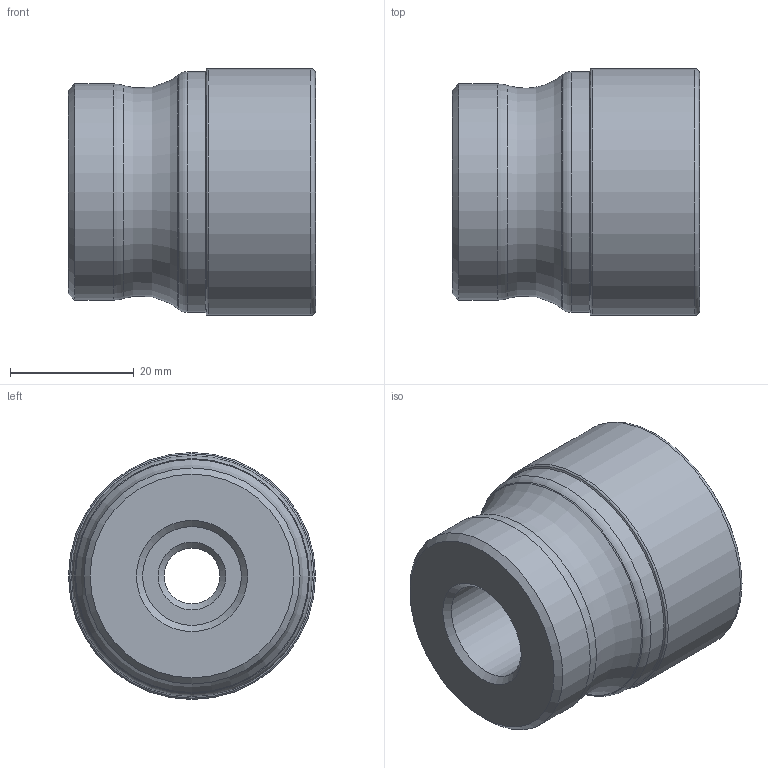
import cadquery as cq
import math

length = 40.0
nose_radius = 17.5
nose_chamfer = 1.0
collar_radius = 19.5
body_radius = 20.0
body_rear_round = 0.8

step_start = 22.17
step_round = 0.37
step_angle = math.radians(65)

neck_center_x = 11.8
neck_radius = 16.8
neck_arc_radius = 9.3
nose_blend_radius = 5.5
collar_blend_radius = 2.2
collar_flank_angle = math.radians(39)

counterbore_radius = 8.0
counterbore_depth = 20.0
through_hole_radius = 4.5
bore_chamfer = 1.0


def arc_point(center, radius, turn):
    """Point on an arc, turned from its top (+Y) towards +X."""
    return center[0] + radius * math.sin(turn), center[1] + radius * math.cos(turn)


def revolved(profile):
    return profile.close().revolve(360, (0, 0, 0), (1, 0, 0))


def outer_body():
    neck_center = (neck_center_x, neck_radius + neck_arc_radius)

    nose_centers = neck_arc_radius + nose_blend_radius
    nose_angle = math.acos(1 - (nose_radius - neck_radius) / nose_centers)
    nose_blend_center = (
        neck_center_x - nose_centers * math.sin(nose_angle),
        nose_radius - nose_blend_radius,
    )

    flank_start = arc_point(neck_center, -neck_arc_radius, -collar_flank_angle)
    flank_end_radius = collar_radius - collar_blend_radius * (1 - math.cos(collar_flank_angle))
    flank_run = (flank_end_radius - flank_start[1]) / math.tan(collar_flank_angle)
    flank_end_x = flank_start[0] + flank_run
    collar_blend_center = (
        flank_end_x + collar_blend_radius * math.sin(collar_flank_angle),
        collar_radius - collar_blend_radius,
    )

    step_cone_top = body_radius - step_round * (1 - math.cos(step_angle))
    step_cone_run = (step_cone_top - collar_radius) / math.tan(step_angle)
    step_round_center = (
        step_start + step_cone_run + step_round * math.sin(step_angle),
        body_radius - step_round,
    )
    rear_round_center = (length - body_rear_round, body_radius - body_rear_round)

    profile = (
        cq.Workplane("XY")
        .lineTo(0, nose_radius - nose_chamfer)
        .lineTo(nose_chamfer, nose_radius)
        .lineTo(*arc_point(nose_blend_center, nose_blend_radius, 0))
        .threePointArc(
            arc_point(nose_blend_center, nose_blend_radius, nose_angle / 2),
            arc_point(nose_blend_center, nose_blend_radius, nose_angle),
        )
        .threePointArc((neck_center_x, neck_radius), flank_start)
        .lineTo(flank_end_x, flank_end_radius)
        .threePointArc(
            arc_point(collar_blend_center, collar_blend_radius, -collar_flank_angle / 2),
            arc_point(collar_blend_center, collar_blend_radius, 0),
        )
        .lineTo(step_start, collar_radius)
        .lineTo(step_start + step_cone_run, step_cone_top)
        .threePointArc(
            arc_point(step_round_center, step_round, -step_angle / 2),
            arc_point(step_round_center, step_round, 0),
        )
        .lineTo(*arc_point(rear_round_center, body_rear_round, 0))
        .threePointArc(
            arc_point(rear_round_center, body_rear_round, math.pi / 4),
            arc_point(rear_round_center, body_rear_round, math.pi / 2),
        )
        .lineTo(length, 0)
    )
    return revolved(profile)


def stepped_bore():
    profile = (
        cq.Workplane("XY")
        .lineTo(0, counterbore_radius + bore_chamfer)
        .lineTo(bore_chamfer, counterbore_radius)
        .lineTo(counterbore_depth, counterbore_radius)
        .lineTo(counterbore_depth, through_hole_radius + bore_chamfer)
        .lineTo(counterbore_depth + bore_chamfer, through_hole_radius)
        .lineTo(length, through_hole_radius)
        .lineTo(length, 0)
    )
    return revolved(profile)


result = outer_body().cut(stepped_bore())